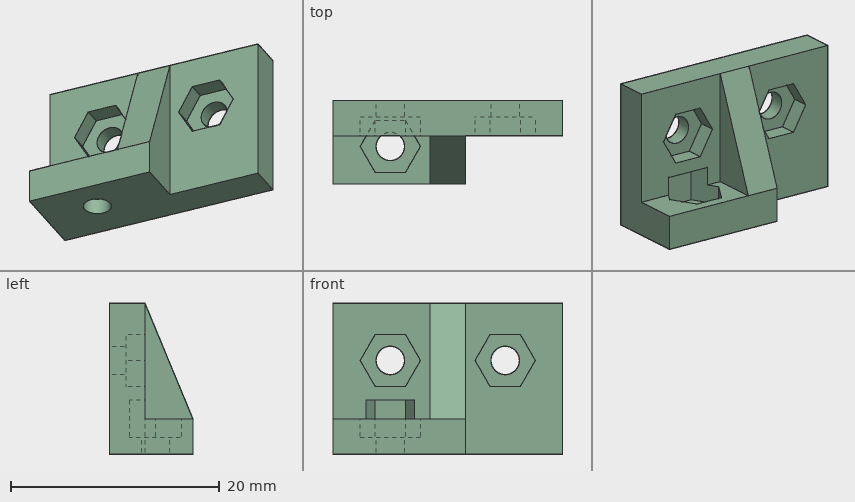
import cadquery as cq
import math

width = 22.0
depth = 8.0
height = 14.5

thickness = 3.4
wall_front = depth - thickness
foot_width = 12.7
rib_left = foot_width - thickness

screw_diameter = 2.7
nut_across_flats = 5.0
nut_across_corners = nut_across_flats / math.cos(math.pi / 6)
nut_depth = 1.8
nut_clearance = nut_depth

wall_screw_xs = (width / 4, 3 * width / 4)
wall_screw_z = 9.0
foot_screw_x = width / 4
foot_screw_y = 3.6


def make_body():
    """Upright wall, foot in front of it, and a sloping rib at the foot's inner end."""
    wall = cq.Workplane("XY", origin=(0, wall_front, 0)).box(width, thickness, height, centered=False)
    foot = cq.Workplane("XY").box(foot_width, wall_front, thickness, centered=False)
    rib = (
        cq.Workplane("YZ", origin=(rib_left, 0, 0))
        .moveTo(0, thickness)
        .lineTo(wall_front, thickness)
        .lineTo(wall_front, height)
        .close()
        .extrude(thickness)
    )
    return wall.union(foot).union(rib)


def screw_and_nut(plane, nut_length):
    """Screw hole through one thickness, with a hexagonal recess starting nut_depth short of its end."""
    hole = plane.circle(screw_diameter / 2).extrude(thickness)
    nut = (
        plane.workplane(offset=thickness - nut_depth)
        .polygon(6, nut_across_corners)
        .extrude(nut_length)
    )
    return hole.union(nut)


result = make_body()

for screw_x in wall_screw_xs:
    wall_back_plane = cq.Workplane("XZ", origin=(screw_x, depth, wall_screw_z))
    result = result.cut(screw_and_nut(wall_back_plane, nut_depth))

foot_bottom_plane = cq.Workplane("XY", origin=(foot_screw_x, foot_screw_y, 0))
result = result.cut(screw_and_nut(foot_bottom_plane, nut_depth + nut_clearance))